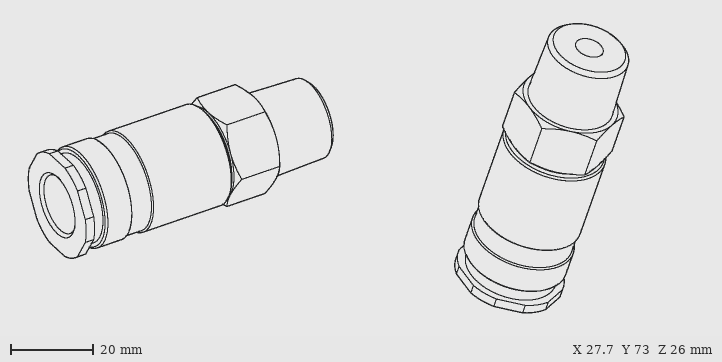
import cadquery as cq
import math

overall_length = 73.0

collar_diameter = 27.0
collar_across_flats = 26.0
collar_thickness = 2.4
collar_neck_diameter = 23.0

sleeve_diameter = 26.0
sleeve_front = 6.0
sleeve_groove_front = 13.6
sleeve_groove_back = 19.2
sleeve_back = 42.1
sleeve_groove_depth = 0.5
sleeve_edge_chamfer = 0.5
groove_wall_angle = 30.0

hex_across_flats = 24.0
hex_length = 13.0
hex_chamfer_angle = 30.0
hex_neck_diameter = 22.0

thread_length = 17.0
thread_gauge_diameter = 20.955
thread_gauge_length = 8.2
thread_taper = 1 / 16
thread_end_chamfer = 1.1

tube_bore_diameter = 15.0
tube_bore_depth = 25.0
tube_bore_chamfer = 0.8
through_bore_diameter = 7.0

hex_back = overall_length - thread_length
hex_front = hex_back - hex_length


def across_corners(across_flats):
    """Corner-to-corner width of a regular hexagon."""
    return across_flats / math.cos(math.pi / 6)


def hexagonal_prism(across_flats, front, length):
    """Hexagonal prism along Y with two corners on the X axis."""
    base = cq.Workplane("XZ", origin=(0, front, 0)).polygon(6, across_corners(across_flats))
    return base.extrude(-length)


def cylinder(diameter, front, back):
    """Cylinder on the Y axis between two stations."""
    return cq.Workplane("XZ", origin=(0, front, 0)).circle(diameter / 2).extrude(front - back)


def revolved(profile):
    """Solid of revolution about Y from (radius, station) points."""
    return cq.Workplane("XY").polyline(profile).close().revolve(360, (0, 0, 0), (0, 1, 0))


def make_collar():
    disc = cylinder(collar_diameter, 0, collar_thickness)
    flats = hexagonal_prism(collar_across_flats, 0, collar_thickness)
    neck = cylinder(collar_neck_diameter, 0, sleeve_front)
    return disc.intersect(flats).union(neck)


def make_sleeve():
    radius = sleeve_diameter / 2
    end_radius = radius - sleeve_edge_chamfer
    groove_radius = radius - sleeve_groove_depth
    wall_run = sleeve_groove_depth * math.tan(math.radians(groove_wall_angle))
    return revolved([
        (0, sleeve_front),
        (end_radius, sleeve_front),
        (radius, sleeve_front + sleeve_edge_chamfer),
        (radius, sleeve_groove_front - wall_run),
        (groove_radius, sleeve_groove_front),
        (groove_radius, sleeve_groove_back),
        (radius, sleeve_groove_back + wall_run),
        (radius, sleeve_back - sleeve_edge_chamfer),
        (end_radius, sleeve_back),
        (0, sleeve_back),
    ])


def make_wrench_hexagon():
    face_radius = hex_across_flats / 2
    corner_radius = across_corners(hex_across_flats) / 2
    chamfer_run = (corner_radius - face_radius) * math.tan(math.radians(hex_chamfer_angle))
    chamfer_envelope = revolved([
        (0, hex_front),
        (face_radius, hex_front),
        (corner_radius, hex_front + chamfer_run),
        (corner_radius, hex_back - chamfer_run),
        (face_radius, hex_back),
        (0, hex_back),
    ])
    hexagon = hexagonal_prism(hex_across_flats, hex_front, hex_length)
    neck = cylinder(hex_neck_diameter, sleeve_back, hex_front)
    return hexagon.intersect(chamfer_envelope).union(neck)


def thread_radius(distance_from_end):
    diameter = thread_gauge_diameter + (distance_from_end - thread_gauge_length) * thread_taper
    return diameter / 2


def make_thread():
    chamfer_radius = thread_radius(thread_end_chamfer)
    return revolved([
        (0, hex_back),
        (thread_radius(thread_length), hex_back),
        (chamfer_radius, overall_length - thread_end_chamfer),
        (chamfer_radius - thread_end_chamfer, overall_length),
        (0, overall_length),
    ])


def make_bore():
    tube_radius = tube_bore_diameter / 2
    through_radius = through_bore_diameter / 2
    return revolved([
        (0, 0),
        (tube_radius + tube_bore_chamfer, 0),
        (tube_radius, tube_bore_chamfer),
        (tube_radius, tube_bore_depth),
        (through_radius, tube_bore_depth),
        (through_radius, overall_length),
        (0, overall_length),
    ])


body = make_collar().union(make_sleeve()).union(make_wrench_hexagon()).union(make_thread())
result = body.cut(make_bore())